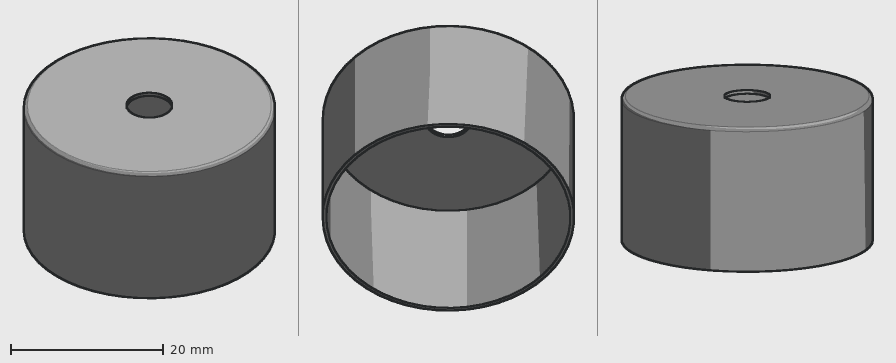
import cadquery as cq

outer_diameter = 33.0
height = 19.5
bore_diameter = 6.0
wall_thickness = 0.5
top_edge_radius = wall_thickness

body = cq.Workplane("XY").circle(outer_diameter / 2).extrude(height)
body = body.faces(">Z").edges().fillet(top_edge_radius)

cavity_radius = outer_diameter / 2 - wall_thickness
cavity = cq.Workplane("XY").circle(cavity_radius).extrude(height - wall_thickness)

bore = cq.Workplane("XY").circle(bore_diameter / 2).extrude(height)

result = body.cut(cavity).cut(bore)